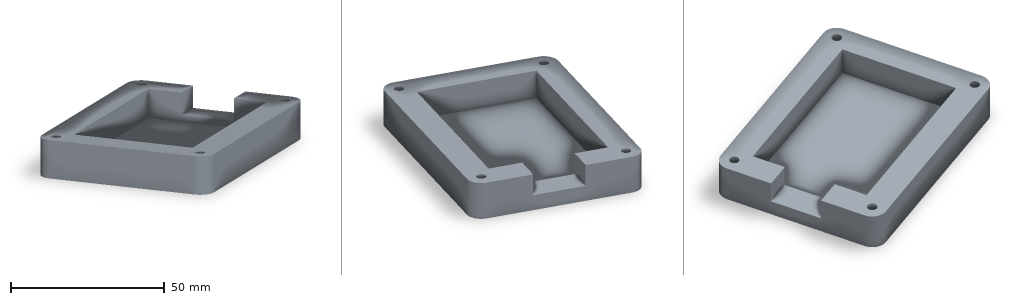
import cadquery as cq

width = 61.0
length = 81.0
height = 13.0
corner_radius = 5.0

hole_diameter = 3.4

pocket_width = 42.0
pocket_length = 62.0
pocket_depth = 10.0

notch_width = 18.5
notch_depth = 7.5


def make_block():
    block = cq.Workplane("XY").box(width, length, height, centered=(True, True, False))
    return block.edges("|Z").fillet(corner_radius)


def make_pocket():
    floor = cq.Workplane("XY").workplane(offset=height - pocket_depth)
    return floor.rect(pocket_width, pocket_length).extrude(pocket_depth)


def make_notch():
    floor = cq.Workplane("XY").workplane(offset=height - notch_depth)
    return floor.center(0, length / 4).rect(notch_width, length / 2).extrude(notch_depth)


def make_screw_holes():
    spacing_x = width - 2 * corner_radius
    spacing_y = length - 2 * corner_radius
    centers = cq.Workplane("XY").rect(spacing_x, spacing_y, forConstruction=True).vertices()
    return centers.circle(hole_diameter / 2).extrude(height)


result = make_block().cut(make_pocket()).cut(make_notch()).cut(make_screw_holes())